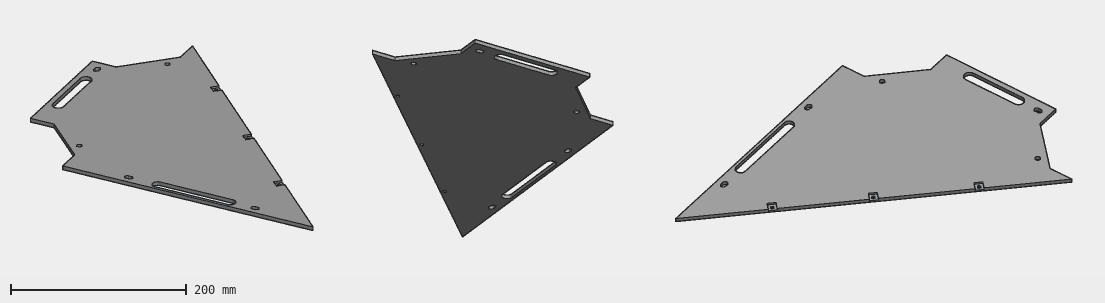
import cadquery as cq
import math

length = 404.8
width = 323.5
thickness = 5.0
shoulder_x = 84.5
tab_side = 30.5
mid_y = width / 2
flank = shoulder_x - tab_side

left_slot_x = 13.8
left_slot_length = 82.5
left_slot_width = 13.8
base_slot_x = 247.5
base_slot_y = 10.0
base_slot_length = 105.2
base_slot_width = 12.5

oblong_length = 9.7
oblong_width = 6.0
left_oblong_y = 224.0
base_oblong_xs = (164.0, 325.5)
round_diameter = 6.0
round_x = 79.5
round_offset_y = 109.5

pocket_size = 10.0
pocket_depth = thickness / 2
pocket_hole_diameter = 4.0
pocket_xs = (155.5, 241.0, 322.5)
slope_run = length - shoulder_x
slope_angle = math.degrees(math.atan2(-width, slope_run))


def make_plate():
    lower_flank_y = tab_side + flank
    return (
        cq.Workplane("XY")
        .polyline([
            (shoulder_x, 0),
            (length, 0),
            (shoulder_x, width),
            (shoulder_x, width - tab_side),
            (tab_side, width - lower_flank_y),
            (0, width - lower_flank_y),
            (0, lower_flank_y),
            (tab_side, lower_flank_y),
            (shoulder_x, tab_side),
        ])
        .close()
        .extrude(thickness)
    )


def slot_cutter(x, y, slot_length, slot_width, angle=0):
    return (
        cq.Workplane("XY")
        .center(x, y)
        .slot2D(slot_length, slot_width, angle)
        .extrude(thickness)
    )


def hole_cutter(x, y, diameter):
    return cq.Workplane("XY").center(x, y).circle(diameter / 2).extrude(thickness)


def pocket_cutter(x):
    """Square pocket with its outer side on the sloping edge and a hole at its centre."""
    edge_y = width * (length - x) / slope_run
    inset = pocket_size / 2 / math.cos(math.radians(slope_angle))
    y = edge_y - inset
    pocket = (
        cq.Workplane("XY")
        .box(pocket_size, pocket_size, pocket_depth, centered=(True, True, False))
        .rotate((0, 0, 0), (0, 0, 1), slope_angle)
        .translate((x, y, thickness - pocket_depth))
    )
    return pocket.union(hole_cutter(x, y, pocket_hole_diameter))


result = make_plate()

result = result.cut(slot_cutter(left_slot_x, mid_y, left_slot_length, left_slot_width, 90))
result = result.cut(slot_cutter(left_slot_x, left_oblong_y, oblong_length, oblong_width, 90))

result = result.cut(slot_cutter(base_slot_x, base_slot_y, base_slot_length, base_slot_width))
for oblong_x in base_oblong_xs:
    result = result.cut(slot_cutter(oblong_x, base_slot_y, oblong_length, oblong_width))

for side in (-1, 1):
    result = result.cut(hole_cutter(round_x, mid_y + side * round_offset_y, round_diameter))

for pocket_x in pocket_xs:
    result = result.cut(pocket_cutter(pocket_x))